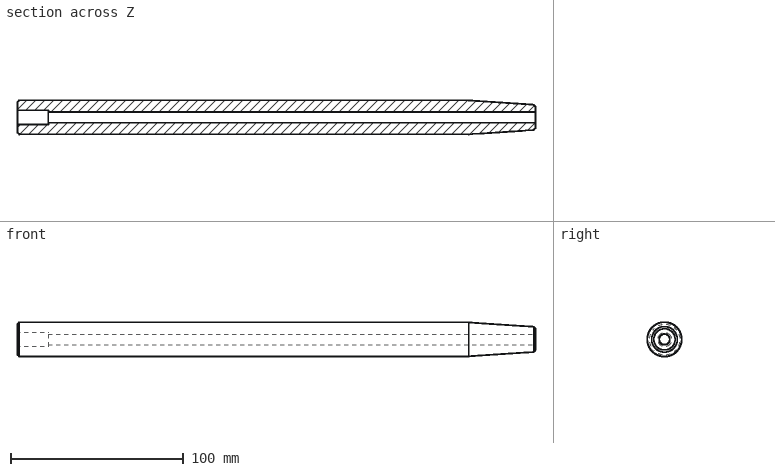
import cadquery as cq

length = 300
body_diameter = 20.0
taper_length = 38.7
taper_start_diameter = 19.8
tip_diameter = 14.7
edge_chamfer = 1.2
bore_diameter = 6
mouth_diameter = 8.0
mouth_depth = 18

back_x = -length / 2
tip_x = length / 2
shoulder_x = tip_x - taper_length


def rod_along_x(diameter, start_x, rod_length):
    """Cylinder on the X axis, starting at start_x and running toward +X."""
    return cq.Workplane("YZ", origin=(start_x, 0, 0)).circle(diameter / 2).extrude(rod_length)


body = rod_along_x(body_diameter, back_x, length - taper_length).faces("<X").chamfer(edge_chamfer)

taper = (
    cq.Workplane("YZ", origin=(shoulder_x, 0, 0))
    .circle(taper_start_diameter / 2)
    .workplane(offset=taper_length)
    .circle(tip_diameter / 2)
    .loft(ruled=True)
    .faces(">X")
    .chamfer(edge_chamfer)
)

bore = rod_along_x(bore_diameter, back_x, length)
mouth = rod_along_x(mouth_diameter, back_x, mouth_depth)

result = body.union(taper).cut(bore).cut(mouth)